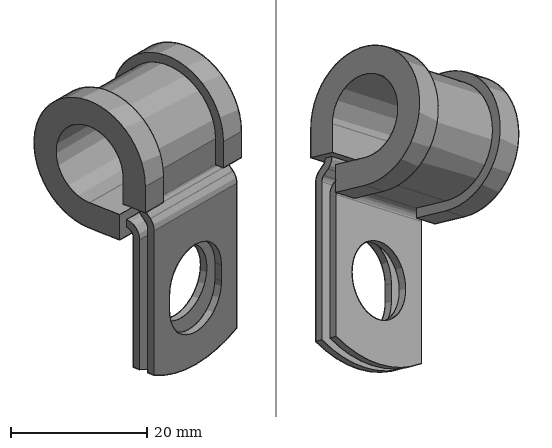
import cadquery as cq
import math

total_height = 44.75
clamp_width = 22.1
flange_width = 4.15
flange_radius = 10.6
bore_radius = 6.35
lower_end_x = 5.73
upper_end_z = -4.4

strap_width = 19.0
strap_thickness = 1.25
strap_outer_radius = 9.1
strap_mid_radius = strap_outer_radius - strap_thickness / 2
bend_mid_radius = 1.5 * strap_thickness
far_leg_offset = 1.92
jog_angle = math.radians(45)

foot_bottom_z = flange_radius - total_height
foot_end_sagitta = 2.15
hole_diameter = 11.9
hole_z = -21.4
far_slot_stretch = 1.35


def loop_profile(outer_radius, inner_radius):
    """Three-quarter ring with a straight at each end, in the XZ plane."""
    diagonal = math.sqrt(0.5)
    return (
        cq.Workplane("XZ")
        .moveTo(lower_end_x, -outer_radius)
        .lineTo(0, -outer_radius)
        .threePointArc((-outer_radius * diagonal, outer_radius * diagonal), (outer_radius, 0))
        .lineTo(outer_radius, upper_end_z)
        .lineTo(inner_radius, upper_end_z)
        .lineTo(inner_radius, 0)
        .threePointArc((-inner_radius * diagonal, inner_radius * diagonal), (0, -inner_radius))
        .lineTo(lower_end_x, -inner_radius)
        .close()
    )


def make_loop():
    """Loop at strap height across the full width, with a raised flange at each end."""
    loop = loop_profile(strap_outer_radius, bore_radius).extrude(clamp_width / 2, both=True)
    flange = loop_profile(flange_radius, bore_radius).extrude(flange_width)
    for front_y in (-clamp_width / 2, clamp_width / 2 - flange_width):
        loop = loop.union(flange.translate((0, front_y + flange_width, 0)))
    return loop


def sweep_strap(path, section):
    return section.rect(strap_thickness, strap_width).sweep(path)


def make_near_leg():
    """Leg that turns down from the lower end of the loop."""
    leg_x = lower_end_x + bend_mid_radius
    path = (
        cq.Workplane("XZ")
        .moveTo(leg_x, foot_bottom_z)
        .lineTo(leg_x, -strap_mid_radius - bend_mid_radius)
        .tangentArcPoint((lower_end_x, -strap_mid_radius), relative=False)
    )
    return sweep_strap(path, cq.Workplane("XY", origin=(leg_x, 0, foot_bottom_z)))


def make_far_leg():
    """Leg that jogs outward below the upper end of the loop."""
    leg_x = strap_mid_radius + far_leg_offset
    arc_x = bend_mid_radius * (1 - math.cos(jog_angle))
    arc_z = bend_mid_radius * math.sin(jog_angle)
    slope_drop = (far_leg_offset - 2 * arc_x) / math.tan(jog_angle)
    jog_bottom_z = upper_end_z - 2 * arc_z - slope_drop
    path = (
        cq.Workplane("XZ")
        .moveTo(leg_x, foot_bottom_z)
        .lineTo(leg_x, jog_bottom_z)
        .tangentArcPoint((leg_x - arc_x, jog_bottom_z + arc_z), relative=False)
        .lineTo(strap_mid_radius + arc_x, upper_end_z - arc_z)
        .tangentArcPoint((strap_mid_radius, upper_end_z), relative=False)
    )
    return sweep_strap(path, cq.Workplane("XY", origin=(leg_x, 0, foot_bottom_z)))


def make_foot_outline():
    """Prism along X that trims both feet to their curved lower ends."""
    half_width = strap_width / 2
    corner_z = foot_bottom_z + foot_end_sagitta
    return (
        cq.Workplane("YZ")
        .moveTo(-half_width, 0)
        .lineTo(-half_width, corner_z)
        .threePointArc((0, foot_bottom_z), (half_width, corner_z))
        .lineTo(half_width, 0)
        .close()
        .extrude(2 * flange_radius)
    )


def make_far_slot():
    """Cutter along X: the bolt hole stretched up and down for the far leg."""
    radius = hole_diameter / 2
    return (
        cq.Workplane("YZ")
        .moveTo(-radius, hole_z - far_slot_stretch)
        .threePointArc((0, hole_z - far_slot_stretch - radius), (radius, hole_z - far_slot_stretch))
        .lineTo(radius, hole_z + far_slot_stretch)
        .threePointArc((0, hole_z + far_slot_stretch + radius), (-radius, hole_z + far_slot_stretch))
        .close()
        .extrude(2 * flange_radius)
    )


bolt_hole = (
    cq.Workplane("YZ")
    .center(0, hole_z)
    .circle(hole_diameter / 2)
    .extrude(2 * flange_radius)
)

near_leg = make_near_leg().cut(bolt_hole)
far_leg = make_far_leg().cut(make_far_slot())
legs = near_leg.union(far_leg).intersect(make_foot_outline())
result = make_loop().union(legs)